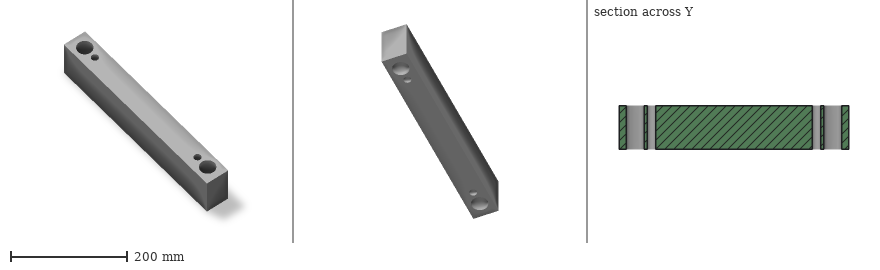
import cadquery as cq

LENGTH = 396.0
WIDTH = 47.0
HEIGHT = 76.0

LARGE_HOLE_DIAMETER = 30.0
LARGE_HOLE_SPACING = 340.0
SMALL_HOLE_DIAMETER = 14.0
SMALL_HOLE_SPACING = 284.0

FRONT_FACE_TO_HOLE_LINE = 24.0
HOLE_LINE_Y = FRONT_FACE_TO_HOLE_LINE - WIDTH / 2


def make_bar():
    """Plain rectangular bar."""
    return cq.Workplane("XY").box(LENGTH, WIDTH, HEIGHT, centered=(True, True, False))


def drill_pair(body, diameter, spacing):
    """Drill two vertical through holes on the hole line, the given spacing apart."""
    centres = [(side * spacing / 2, HOLE_LINE_Y) for side in (-1, 1)]
    top_plane = body.faces(">Z").workplane(origin=(0, 0, HEIGHT))
    return top_plane.pushPoints(centres).hole(diameter)


bar = make_bar()
bar = drill_pair(bar, LARGE_HOLE_DIAMETER, LARGE_HOLE_SPACING)
result = drill_pair(bar, SMALL_HOLE_DIAMETER, SMALL_HOLE_SPACING)